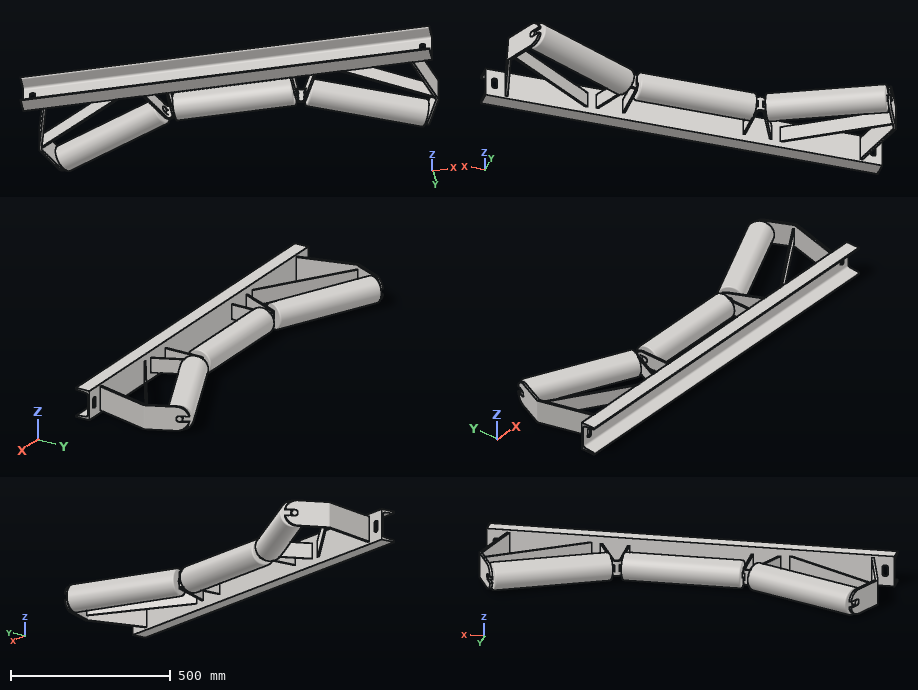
import cadquery as cq
import math


beam_length = 1300.0
beam_height = 100.0
flange_width = 50.0
web_thickness = 6.0
flange_thickness = 8.5
flange_taper = 0.08
root_radius = 8.5
toe_radius = 5.0

slot_width = 18.0
slot_length = 36.0
slot_spacing = 1240.0

overall_depth = 376.48
trough_angle = 25.0
roller_diameter = 89.0
roller_length = 380.0
roller_edge_radius = 5.0
shaft_diameter = 20.0
middle_roller_height = 117.0
side_roller_offset = 404.5

outer_strip_width = 82.0
outer_strip_thickness = 8.0
outer_strip_gap = 5.0
outer_strip_tip = 32.0
outer_strip_foot = 581.0
knee_height = 192.0
knee_bend_radius = 1.5

inner_strip_width = 50.0
inner_strip_thickness = 6.0
inner_strip_gap = 4.0
inner_bend_radius = 10.0

brace_width = 54.0
brace_thickness = 5.0
brace_foot = 320.0
brace_top = 198.0

edge_reach = 0.5

tilt = math.radians(trough_angle)
roller_radius = roller_diameter / 2
shaft_radius = shaft_diameter / 2
roller_end = roller_length / 2
outer_near_face = roller_end + outer_strip_gap
outer_mid_face = outer_near_face + outer_strip_thickness / 2
outer_far_face = outer_near_face + outer_strip_thickness
inner_near_face = roller_end + inner_strip_gap
inner_far_face = inner_near_face + inner_strip_thickness

side_roller_height = (
    overall_depth
    - flange_width
    - (roller_end - roller_edge_radius) * math.sin(tilt)
    - (roller_radius - roller_edge_radius) * math.cos(tilt)
    - roller_edge_radius
)


def side_point(along, across):
    """XY point at a place along (outward) and across (upward) the axis of the right-hand roller."""
    x = side_roller_offset + along * math.cos(tilt) - across * math.sin(tilt)
    y = side_roller_height + along * math.sin(tilt) + across * math.cos(tilt)
    return x, y


def side_point_at_height(along, height):
    """XY point at a given Y on the line that crosses the right-hand roller's axis at `along`."""
    across = (height - side_roller_height - along * math.sin(tilt)) / math.cos(tilt)
    return side_point(along, across)


def place_on_side(body):
    """Moves a body from the X axis onto the axis of the right-hand roller."""
    turned = body.rotate((0, 0, 0), (0, 0, 1), trough_angle)
    return turned.translate((side_roller_offset, side_roller_height, 0))


def place_in_middle(body):
    """Moves a body from the X axis onto the axis of the middle roller."""
    return body.translate((0, middle_roller_height, 0))


def extrude_strip(outline, width):
    """Extrudes an XY outline equally to both sides of the middle plane."""
    return outline.close().extrude(width / 2, both=True)


def edges_near(point):
    """Selector of the edges whose middle lies at a point."""
    low = [value - edge_reach for value in point]
    high = [value + edge_reach for value in point]
    return cq.selectors.BoxSelector(low, high)


def make_beam():
    half_height = beam_height / 2
    toe_z = half_height - flange_thickness + flange_taper * flange_width / 2
    root_z = toe_z - flange_taper * (flange_width - web_thickness)
    beam = (
        cq.Workplane("YZ", origin=(-beam_length / 2, 0, 0))
        .moveTo(0, -half_height)
        .lineTo(0, half_height)
        .lineTo(-flange_width, half_height)
        .lineTo(-flange_width, toe_z)
        .lineTo(-web_thickness, root_z)
        .lineTo(-web_thickness, -root_z)
        .lineTo(-flange_width, -toe_z)
        .lineTo(-flange_width, -half_height)
        .close()
        .extrude(beam_length)
    )
    for side in (-1, 1):
        root = (0, -web_thickness, side * root_z)
        toe = (0, -flange_width, side * toe_z)
        beam = beam.edges(edges_near(root)).fillet(root_radius)
        beam = beam.edges(edges_near(toe)).fillet(toe_radius)
    slots = (
        cq.Workplane("XZ")
        .pushPoints([(-slot_spacing / 2, 0), (slot_spacing / 2, 0)])
        .slot2D(slot_length, slot_width, 90)
        .extrude(web_thickness)
    )
    return beam.cut(slots)


def make_inner_strip():
    """Bent strip between the middle roller and the right-hand roller."""
    inner_radius = inner_bend_radius
    outer_radius = inner_bend_radius + inner_strip_thickness
    center_x = inner_near_face + outer_radius
    center_along = -inner_near_face - outer_radius
    center_across = (side_roller_offset + center_along * math.cos(tilt) - center_x) / math.sin(tilt)
    center_y = side_point(center_along, center_across)[1]
    middle_angle = (tilt + math.pi) / 2

    def on_bend(radius, angle):
        return center_x + radius * math.cos(angle), center_y + radius * math.sin(angle)

    outline = (
        cq.Workplane("XY")
        .moveTo(inner_near_face, 0)
        .lineTo(*on_bend(outer_radius, math.pi))
        .threePointArc(on_bend(outer_radius, middle_angle), on_bend(outer_radius, tilt))
        .lineTo(*side_point_at_height(-inner_near_face, 0))
        .lineTo(*side_point_at_height(-inner_far_face, 0))
        .lineTo(*on_bend(inner_radius, tilt))
        .threePointArc(on_bend(inner_radius, middle_angle), on_bend(inner_radius, math.pi))
        .lineTo(inner_far_face, 0)
    )
    strip = extrude_strip(outline, inner_strip_width)
    strip = strip.cut(place_in_middle(make_shaft_slot(inner_near_face, inner_far_face)))
    return strip.cut(place_on_side(make_shaft_slot(-inner_far_face, -inner_near_face)))


def make_outer_strip():
    """Bent strip at the outer end of the right-hand roller."""
    knee_x, knee_y = side_point_at_height(outer_mid_face, knee_height)
    lower_angle = math.atan2(knee_y, knee_x - outer_strip_foot)
    upper_angle = math.pi / 2 + tilt
    half_turn = (upper_angle - lower_angle) / 2
    normal = (upper_angle + lower_angle) / 2 - math.pi / 2
    miter = outer_strip_thickness / 2 / math.cos(half_turn)
    shift_x = miter * math.cos(normal)
    shift_y = miter * math.sin(normal)
    knee_inside = (knee_x - shift_x, knee_y - shift_y)
    knee_outside = (knee_x + shift_x, knee_y + shift_y)
    half_foot = outer_strip_thickness / 2 / math.sin(lower_angle)
    outline = (
        cq.Workplane("XY")
        .moveTo(outer_strip_foot - half_foot, 0)
        .lineTo(*knee_inside)
        .lineTo(*side_point(outer_near_face, outer_strip_tip))
        .lineTo(*side_point(outer_far_face, outer_strip_tip))
        .lineTo(*knee_outside)
        .lineTo(outer_strip_foot + half_foot, 0)
    )
    strip = extrude_strip(outline, outer_strip_width)
    strip = strip.edges(edges_near((*knee_inside, 0))).fillet(knee_bend_radius)
    strip = strip.edges(edges_near((*knee_outside, 0))).fillet(knee_bend_radius + outer_strip_thickness)
    strip = strip.cut(place_on_side(make_tip_corners()))
    return strip.cut(place_on_side(make_shaft_slot(outer_near_face, outer_far_face)))


def make_tip_corners():
    """The corners that a half-round tip leaves off, for an outer strip standing on the X axis."""
    half_width = outer_strip_width / 2
    round_center = outer_strip_tip - half_width
    plane = cq.Workplane("YZ", origin=(outer_near_face, 0, 0))
    block = (
        plane.center(round_center + half_width / 2, 0)
        .rect(half_width, outer_strip_width)
        .extrude(outer_strip_thickness)
    )
    disc = plane.center(round_center, 0).circle(half_width).extrude(outer_strip_thickness)
    return block.cut(disc)


def make_shaft_slot(start, end):
    """U-shaped slot through a strip from x = start to x = end, open towards +Y, that holds a shaft."""
    length = end - start
    plane = cq.Workplane("YZ", origin=(start, 0, 0))
    opening = plane.center(roller_radius / 2, 0).rect(roller_radius, shaft_diameter).extrude(length)
    seat = plane.circle(shaft_radius).extrude(length)
    return opening.union(seat)


def make_shaft(end):
    """Shaft along the X axis from x = -inner_far_face to x = end."""
    plane = cq.Workplane("YZ", origin=(-inner_far_face, 0, 0))
    return plane.circle(shaft_radius).extrude(inner_far_face + end)


def make_roller():
    plane = cq.Workplane("YZ", origin=(-roller_end, 0, 0))
    roller = plane.circle(roller_radius).extrude(roller_length)
    roller = roller.edges("%CIRCLE").fillet(roller_edge_radius)
    bore = plane.circle(shaft_radius).extrude(roller_length)
    return roller.cut(bore)


def make_brace():
    """Flat brace from the beam to the knee of the right-hand outer strip."""
    top_x, top_y = side_point_at_height(outer_mid_face, brace_top)
    slope = math.atan2(top_y, top_x - brace_foot)
    half_foot = brace_thickness / 2 / math.sin(slope)
    half_top = brace_thickness / 2 / math.cos(slope)
    outline = (
        cq.Workplane("XY")
        .moveTo(brace_foot - half_foot, 0)
        .lineTo(brace_foot + half_foot, 0)
        .lineTo(top_x, top_y - half_top)
        .lineTo(top_x, top_y + half_top)
    )
    return extrude_strip(outline, brace_width)


def make_frame():
    """The beam with the strips and braces welded to its back on both sides."""
    frame = make_beam()
    for part in (make_outer_strip(), make_brace(), make_inner_strip()):
        frame = frame.union(part).union(part.mirror("YZ"))
    return frame


frame = make_frame()

middle_roller = place_in_middle(make_roller())
right_roller = place_on_side(make_roller())
left_roller = right_roller.mirror("YZ")

middle_shaft = place_in_middle(make_shaft(inner_far_face))
right_shaft = place_on_side(make_shaft(outer_far_face))
left_shaft = right_shaft.mirror("YZ")

result = cq.Compound.makeCompound(
    [
        frame.val(),
        middle_roller.val(),
        right_roller.val(),
        left_roller.val(),
        middle_shaft.val(),
        right_shaft.val(),
        left_shaft.val(),
    ]
)